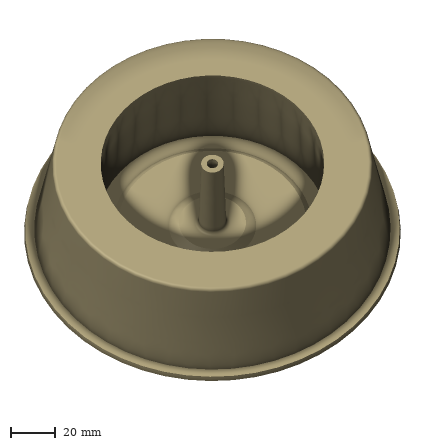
import cadquery as cq
import math

outer_radius = 84.3
height = 50.0

outer_draft = 10.0
well_draft = 2.5
post_draft = 1.5

flange_thickness = 2.5
wall_foot_radius = 79.7
rim_fillet = 1.7

well_mouth_diameter = 100.0
well_mouth_radius = well_mouth_diameter / 2
lip_height = 1.3
well_floor_z = 3.5

plateau_foot_radius = 44.8
plateau_top_radius = 42.3
plateau_rise = 1.5
hub_foot_radius = 19.5
hub_top_radius = 15.0
hub_rise = 2.2
plateau_z = well_floor_z + plateau_rise
hub_z = plateau_z + hub_rise

post_top_radius = 5.0
post_foot_fillet = 1.7
bore_mouth_radius = 2.5


def spread(drop, draft):
    """Change in radius of a drafted wall over a vertical distance."""
    return drop * math.tan(math.radians(draft))


def revolve_outline(points):
    """Revolve a closed (radius, z) outline about the Z axis."""
    return cq.Workplane("XZ").polyline(points).close().revolve(360, (0, 0), (0, 1))


def body():
    """Solid frustum on a thin flange, with a rounded upper rim."""
    flange_top_radius = outer_radius - spread(flange_thickness, outer_draft)
    rim_radius = wall_foot_radius - spread(height - flange_thickness, outer_draft)
    outline = [
        (0, 0),
        (outer_radius, 0),
        (flange_top_radius, flange_thickness),
        (wall_foot_radius, flange_thickness),
        (rim_radius, height),
        (0, height),
    ]
    return revolve_outline(outline).faces(">Z").edges().fillet(rim_fillet)


def well():
    """Undercut well whose floor steps up to a plateau and a hub."""
    lip_z = height - lip_height
    floor_radius = well_mouth_radius + spread(lip_z - well_floor_z, well_draft)
    outline = [
        (0, height),
        (well_mouth_radius, height),
        (well_mouth_radius, lip_z),
        (floor_radius, well_floor_z),
        (plateau_foot_radius, well_floor_z),
        (plateau_top_radius, plateau_z),
        (hub_foot_radius, plateau_z),
        (hub_top_radius, hub_z),
        (0, hub_z),
    ]
    return revolve_outline(outline)


def post():
    """Tapered post standing on the hub."""
    foot_radius = post_top_radius + spread(height - hub_z, post_draft)
    outline = [(0, hub_z), (foot_radius, hub_z), (post_top_radius, height), (0, height)]
    return revolve_outline(outline)


def bore():
    """Through bore of the post, narrowing towards the underside."""
    exit_radius = bore_mouth_radius - spread(height, post_draft)
    outline = [(0, 0), (exit_radius, 0), (bore_mouth_radius, height), (0, height)]
    return revolve_outline(outline)


def post_foot_edge():
    """Selector for the circle where the post meets the hub, inside the hub's own edge."""
    reach = (post_top_radius + hub_top_radius) / 2
    half_step = hub_rise / 2
    return cq.selectors.BoxSelector(
        (-reach, -reach, hub_z - half_step),
        (reach, reach, hub_z + half_step),
        boundingbox=True,
    )


cup = body().cut(well()).union(post())
result = cup.edges(post_foot_edge()).fillet(post_foot_fillet).cut(bore())